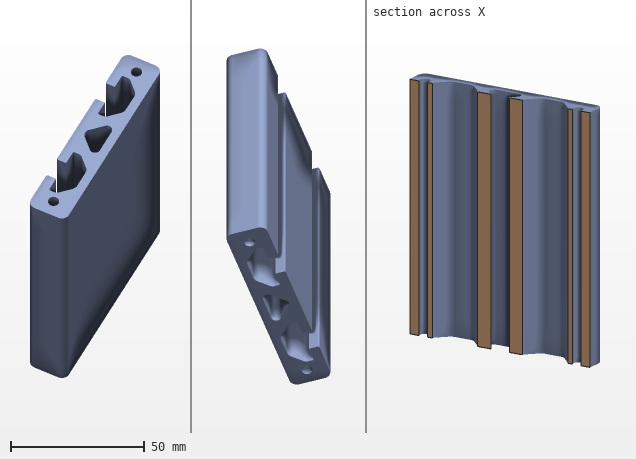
import cadquery as cq

depth = 16.0
width = 80.0
length = 100.0
corner_radius = 3.0

slot_offset = 20.0
slot_opening = 8.2
slot_span = 20.0
slot_flat_end = 7.2
lip_thickness = 4.0
lip_chamfer = 0.4
back_wall = 3.5
slot_lip_radius = 0.4
slot_flank_radius = 2.5
slot_back_radius = 3.2

core_tip = 2.8
core_tip_radius = 2.5
core_base_radius = 2.0
hole_diameter = 4.2
hole_edge_distance = 6.0

front_x = -depth / 2
back_x = depth / 2 - back_wall


def make_slot():
    """T-slot cutter centred on Y = 0, with 45 degree flanks towards the back."""
    lip_x = front_x + lip_thickness
    flat_x = front_x + slot_flat_end
    half_span = slot_span / 2
    half_back = half_span - (back_x - flat_x)
    half_opening = slot_opening / 2
    half_mouth = half_opening + lip_chamfer
    cavity = (
        cq.Workplane("XY")
        .polyline([
            (lip_x, -half_span),
            (flat_x, -half_span),
            (back_x, -half_back),
            (back_x, half_back),
            (flat_x, half_span),
            (lip_x, half_span),
        ])
        .close()
        .extrude(length)
    )
    cavity = cavity.edges("|Z and >X").fillet(slot_back_radius)
    for side in (-1, 1):
        flank_corner = cq.selectors.NearestToPointSelector((flat_x, side * half_span, length / 2))
        cavity = cavity.edges("|Z").edges(flank_corner).fillet(slot_flank_radius)
    cavity = cavity.edges("|Z and <X").fillet(slot_lip_radius)
    mouth = (
        cq.Workplane("XY")
        .polyline([
            (front_x, -half_mouth),
            (front_x + lip_chamfer, -half_opening),
            (lip_x + lip_chamfer, -half_opening),
            (lip_x + lip_chamfer, half_opening),
            (front_x + lip_chamfer, half_opening),
            (front_x, half_mouth),
        ])
        .close()
        .extrude(length)
    )
    return cavity.union(mouth)


def make_core():
    """Right-angled triangular hole with rounded corners."""
    tip_x = front_x + core_tip
    half_base = back_x - tip_x
    return (
        cq.Workplane("XY")
        .polyline([(tip_x, 0), (back_x, -half_base), (back_x, half_base)])
        .close()
        .extrude(length)
        .edges("|Z and <X")
        .fillet(core_tip_radius)
        .edges("|Z and >X")
        .fillet(core_base_radius)
    )


result = (
    cq.Workplane("XY")
    .box(depth, width, length, centered=(True, True, False))
    .edges("|Z")
    .fillet(corner_radius)
)

slot = make_slot()
for side in (-1, 1):
    result = result.cut(slot.translate((0, side * slot_offset, 0)))

result = result.cut(make_core())

hole = cq.Workplane("XY").circle(hole_diameter / 2).extrude(length)
for side in (-1, 1):
    result = result.cut(hole.translate((0, side * (width / 2 - hole_edge_distance), 0)))